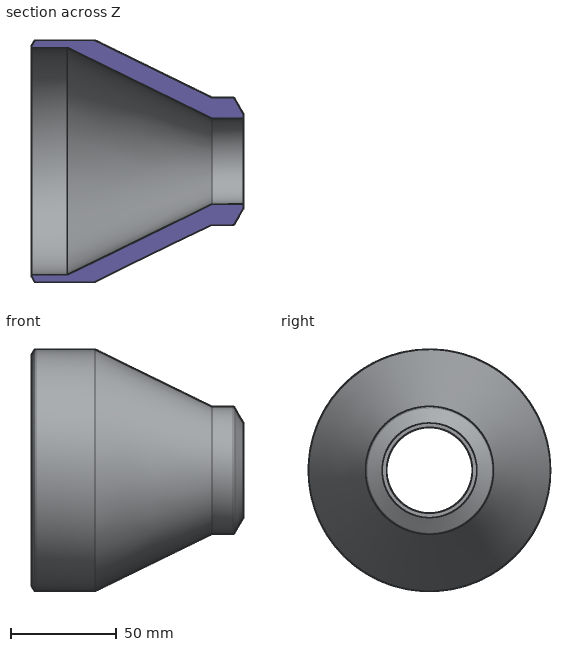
import cadquery as cq
import math

total_length = 100.0
large_length = 30.0
small_length = 15.0
large_bore_length = 16.9
large_outer_radius = 57.2
large_bore_radius = 107.1 / 2
small_outer_radius = 60.4 / 2
small_bore_radius = 40.3 / 2

small_land_width = 2.2
large_land_width = 1.0
bevel_angle = math.radians(30)

edge_rounding = 1.0

large_bevel_depth = large_outer_radius - large_bore_radius - large_land_width
large_bevel_length = large_bevel_depth * math.tan(bevel_angle)
small_bevel_depth = small_outer_radius - small_bore_radius - small_land_width
small_bevel_length = small_bevel_depth * math.tan(bevel_angle)

small_start = total_length - small_length

wall_section = [
    (0, large_bore_radius),
    (0, large_outer_radius - large_bevel_depth),
    (large_bevel_length, large_outer_radius),
    (large_length, large_outer_radius),
    (small_start, small_outer_radius),
    (total_length - small_bevel_length, small_outer_radius),
    (total_length, small_outer_radius - small_bevel_depth),
    (total_length, small_bore_radius),
    (small_start, small_bore_radius),
    (large_bore_length, large_bore_radius),
]

axis_start = (0, 0, 0)
axis_end = (1, 0, 0)
reducer = cq.Workplane("XY").polyline(wall_section).close().revolve(360, axis_start, axis_end)


def round_outer_edge(body, axial_position, radius):
    """Round the circular edge of the given radius at a position along the axis."""
    reach = 0.1
    edge_band = cq.selectors.BoxSelector(
        (axial_position - reach, -radius - reach, -radius - reach),
        (axial_position + reach, radius + reach, radius + reach),
        boundingbox=True,
    )
    return body.edges(edge_band).fillet(edge_rounding)


outer_edges = [
    (large_bevel_length, large_outer_radius),
    (large_length, large_outer_radius),
    (small_start, small_outer_radius),
    (total_length - small_bevel_length, small_outer_radius),
]
for axial_position, radius in outer_edges:
    reducer = round_outer_edge(reducer, axial_position, radius)

result = reducer